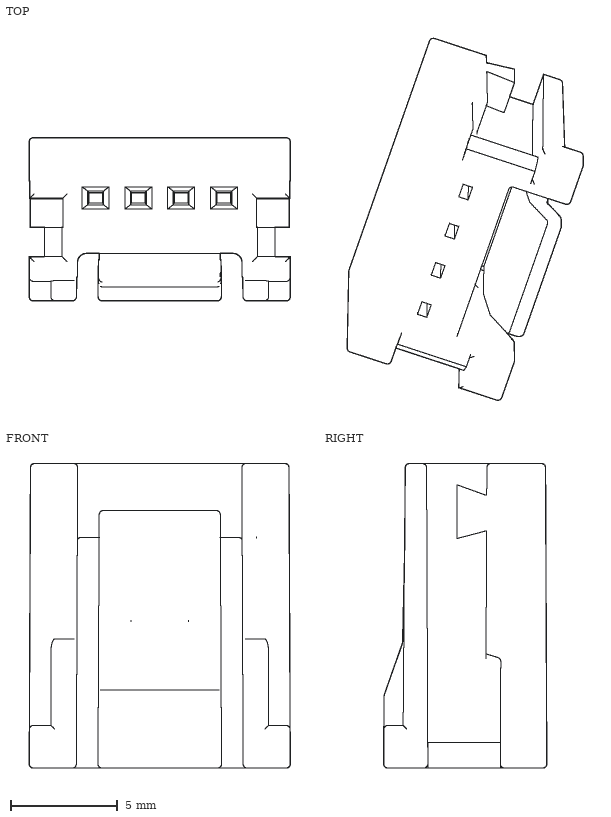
import cadquery as cq
import math

WIDTH = 12.22
DEPTH = 7.64
HEIGHT = 14.25
DRAFT_INSET = 0.06
DRAFT_ANGLE = math.degrees(math.atan(DRAFT_INSET / HEIGHT))
EDGE_RADIUS = 0.2
KNEE_RADIUS = 0.5
OVERSHOOT = 1.0
NEAR = 0.1

HALF_WIDTH = WIDTH / 2

SLOT_REAR = 2.87
SLOT_FRONT = 5.57
SLOT_FLOOR_X = 4.57
SLOT_STEP_REAR = 2.18
SLOT_STEP_TOP = 5.14
SLOT_STEP_ROOF_ANGLE = 17
SLOT_STEP_RADIUS = 0.2

HOOK_TIP = 4.2
HOOK_ROOT_Z = (11.09, 12.77)
HOOK_TIP_Z = (10.74, 13.25)

LEDGE_OUTER_X = 5.39
LEDGE_TOP = 1.2
LEDGE_CHAMFER_TOP = 0.69
LEDGE_CHAMFER_X = 4.99
LEDGE_RADIUS = 0.55

RAIL_FRONT_BOTTOM = 6.74
RAIL_FRONT_TOP = 6.63
FOOT_TOP = 2.0
RAMP_OUTER_X = 5.09
RAMP_BOTTOM = 3.35
RAMP_TOP = 6.05

RECESS_HALF_WIDTH = 3.9
RECESS_FLOOR = 5.36
RECESS_CORNER_RADIUS = 0.43
POCKET_FLOOR = 4.7
POCKET_TOP = 10.79
POCKET_TOP_RADIUS = 0.5
POCKET_CORNER_RADIUS = 0.17

ARM_HALF_WIDTH_TOP = 2.82
ARM_HALF_WIDTH_BOTTOM = 2.89
ARM_FOOT_RADIUS = 0.4
ARM_THICKNESS = 0.95
ARM_FOOT_THICKNESS = 0.7
ARM_ROOT_OVERLAP = 0.1
ARM_BEND_RADIUS = 1.47
ARM_BEND_Z = 10.6
ARM_UPPER_FRONT = 6.65
ARM_LOWER_FRONT = 6.76
ARM_GRIP_FRONT = 6.98
ARM_STEP_TOP = 5.75
ARM_STEP_BOTTOM = 5.2
ARM_RAMP_TOP = 3.65
ARM_RAMP_BOTTOM = 1.85

PIN_COUNT = 4
PIN_PITCH = 2.0
PIN_DEPTH_POSITION = 2.82
FUNNEL_SIZE = (1.26, 1.04)
PIN_HOLE_TOP_SIZE = (0.74, 0.64)
PIN_HOLE_BOTTOM_SIZE = (0.64, 0.46)
FUNNEL_DEPTH = 0.22


def y_at(depth):
    """Y coordinate of a point at a given depth forwards of the rear face."""
    return DEPTH / 2 - depth


def side_prism(points, x_start, x_end):
    """Prism along X from (depth, z) points."""
    outline = [(y_at(depth), z) for depth, z in points]
    return (
        cq.Workplane("YZ", origin=(x_start, 0, 0))
        .polyline(outline)
        .close()
        .extrude(x_end - x_start)
    )


def mirrored(shape):
    """The shape together with its mirror image across the YZ plane."""
    return shape.union(shape.mirror("YZ"))


def make_block():
    """Plain drafted block that encloses the whole housing."""
    return cq.Workplane("XY").rect(WIDTH, DEPTH).extrude(HEIGHT, taper=DRAFT_ANGLE)


def slot_cutter(rear, top):
    """Drafted slot volume at the right-hand side, from a rear wall to the common front wall."""
    outer_x = HALF_WIDTH + OVERSHOOT
    growth = DRAFT_INSET * top / HEIGHT

    def corners(inset):
        return [
            (outer_x, y_at(rear - inset)),
            (SLOT_FLOOR_X - inset, y_at(rear - inset)),
            (SLOT_FLOOR_X - inset, y_at(SLOT_FRONT + inset)),
            (outer_x, y_at(SLOT_FRONT + inset)),
        ]

    lower = cq.Workplane("XY").polyline(corners(0)).close()
    return lower.workplane(offset=top).polyline(corners(growth)).close().loft(ruled=True)


def make_side_slots():
    """Cutters for the slots in both sides, widened towards the rear in their lower part."""
    roof_slope = math.tan(math.radians(SLOT_STEP_ROOF_ANGLE))
    roof_start = SLOT_STEP_TOP - SLOT_STEP_REAR * roof_slope
    roof_end = roof_start + DEPTH * roof_slope
    below_roof = side_prism([(0, 0), (DEPTH, 0), (DEPTH, roof_end), (0, roof_start)], 0, WIDTH)
    step = slot_cutter(SLOT_STEP_REAR, roof_end).intersect(below_roof)
    inner_corner = (SLOT_FLOOR_X, y_at(SLOT_STEP_REAR), SLOT_STEP_TOP / 2)
    roof_corner = (HALF_WIDTH, y_at(SLOT_STEP_REAR), SLOT_STEP_TOP)
    for corner in (inner_corner, roof_corner):
        step = step.edges(cq.selectors.NearestToPointSelector(corner)).fillet(SLOT_STEP_RADIUS)
    return mirrored(slot_cutter(SLOT_REAR, HEIGHT).union(step))


def make_front_relief():
    """Material in front of the rails, above the feet and the ramps."""
    far = DEPTH + OVERSHOOT
    high = HEIGHT + OVERSHOOT
    slope = (RAIL_FRONT_BOTTOM - RAIL_FRONT_TOP) / HEIGHT

    def rail_front(z):
        return RAIL_FRONT_BOTTOM - slope * z

    above_feet = side_prism(
        [
            (rail_front(FOOT_TOP), FOOT_TOP),
            (far, FOOT_TOP),
            (far, high),
            (rail_front(high), high),
        ],
        RAMP_OUTER_X,
        WIDTH,
    )
    ramp_cut = side_prism(
        [
            (rail_front(RAMP_TOP), RAMP_TOP),
            (DEPTH, RAMP_BOTTOM),
            (far, RAMP_BOTTOM),
            (far, high),
            (rail_front(high), high),
        ],
        0,
        RAMP_OUTER_X,
    )
    return mirrored(above_feet.union(ramp_cut))


def make_recess():
    """Front recess between the rails and the deeper pocket below its upper wall."""

    def channel(floor, top):
        length = DEPTH + OVERSHOOT - floor
        return (
            cq.Workplane("XY")
            .center(0, y_at(floor + length / 2))
            .rect(2 * RECESS_HALF_WIDTH, length)
            .extrude(top, taper=DRAFT_ANGLE)
        )

    upper = channel(RECESS_FLOOR, HEIGHT)
    upper = upper.faces(">Y").edges("not |X").fillet(RECESS_CORNER_RADIUS)
    pocket = channel(POCKET_FLOOR, POCKET_TOP)
    pocket = pocket.faces(">Z").edges(">Y").fillet(POCKET_TOP_RADIUS)
    pocket = pocket.faces(">Y").edges("not |X").fillet(POCKET_CORNER_RADIUS)
    return upper.union(pocket)


def make_hooks():
    """Dovetail-shaped hooks in the side slots, flush with the drafted sides of the housing."""
    outline = [
        (SLOT_REAR - EDGE_RADIUS, HOOK_ROOT_Z[0]),
        (SLOT_REAR, HOOK_ROOT_Z[0]),
        (HOOK_TIP, HOOK_TIP_Z[0]),
        (HOOK_TIP, HOOK_TIP_Z[1]),
        (SLOT_REAR, HOOK_ROOT_Z[1]),
        (SLOT_REAR - EDGE_RADIUS, HOOK_ROOT_Z[1]),
    ]
    inner_x = SLOT_FLOOR_X - DRAFT_INSET - EDGE_RADIUS
    return mirrored(side_prism(outline, inner_x, HALF_WIDTH).intersect(make_block()))


def make_ledges():
    """Chamfered ledges bridging the bottom of each side slot."""
    inner_x = SLOT_FLOOR_X - EDGE_RADIUS
    ledge = (
        cq.Workplane("XZ", origin=(0, y_at(SLOT_STEP_REAR), 0))
        .moveTo(inner_x, 0)
        .lineTo(LEDGE_CHAMFER_X, 0)
        .lineTo(LEDGE_OUTER_X, LEDGE_CHAMFER_TOP)
        .lineTo(LEDGE_OUTER_X, LEDGE_TOP)
        .lineTo(inner_x, LEDGE_TOP)
        .close()
        .extrude(SLOT_FRONT - SLOT_STEP_REAR)
    )
    ledge_middle = y_at((SLOT_STEP_REAR + SLOT_FRONT) / 2)
    chamfer_edge = cq.selectors.NearestToPointSelector((LEDGE_OUTER_X, ledge_middle, LEDGE_CHAMFER_TOP))
    ledge = ledge.edges(chamfer_edge).fillet(LEDGE_RADIUS)
    return mirrored(ledge)


def make_arm():
    """Latch arm: bends out of the recess wall and hangs down to a flared thumb grip."""
    bend_centre = ARM_UPPER_FRONT - ARM_BEND_RADIUS
    root = RECESS_FLOOR - ARM_ROOT_OVERLAP
    root_z = ARM_BEND_Z + math.sqrt(ARM_BEND_RADIUS ** 2 - (root - bend_centre) ** 2)
    mid_angle = math.radians(45)
    bend_mid = (
        y_at(bend_centre + ARM_BEND_RADIUS * math.cos(mid_angle)),
        ARM_BEND_Z + ARM_BEND_RADIUS * math.sin(mid_angle),
    )
    back_upper = ARM_UPPER_FRONT - ARM_THICKNESS
    back_grip = ARM_GRIP_FRONT - ARM_THICKNESS
    back_foot = DEPTH - ARM_FOOT_THICKNESS
    ramp_slope = (DEPTH - ARM_GRIP_FRONT) / (ARM_RAMP_TOP - ARM_RAMP_BOTTOM)
    back_ramp_top = (back_foot - back_grip) / ramp_slope
    profile = (
        cq.Workplane("YZ", origin=(-ARM_HALF_WIDTH_BOTTOM, 0, 0))
        .moveTo(y_at(root), root_z)
        .threePointArc(bend_mid, (y_at(ARM_UPPER_FRONT), ARM_BEND_Z))
        .lineTo(y_at(ARM_LOWER_FRONT), ARM_STEP_TOP)
        .lineTo(y_at(ARM_GRIP_FRONT), ARM_STEP_BOTTOM)
        .lineTo(y_at(ARM_GRIP_FRONT), ARM_RAMP_TOP)
        .lineTo(y_at(DEPTH), ARM_RAMP_BOTTOM)
        .lineTo(y_at(DEPTH), 0)
        .lineTo(y_at(back_foot), 0)
        .lineTo(y_at(back_grip), back_ramp_top)
        .lineTo(y_at(back_upper), ARM_STEP_TOP)
        .lineTo(y_at(back_upper), POCKET_TOP)
        .lineTo(y_at(root), POCKET_TOP)
        .close()
        .extrude(2 * ARM_HALF_WIDTH_BOTTOM)
    )
    sides = (
        cq.Workplane("XZ", origin=(0, DEPTH, 0))
        .moveTo(-ARM_HALF_WIDTH_BOTTOM, 0)
        .lineTo(ARM_HALF_WIDTH_BOTTOM, 0)
        .lineTo(ARM_HALF_WIDTH_TOP, HEIGHT)
        .lineTo(-ARM_HALF_WIDTH_TOP, HEIGHT)
        .close()
        .extrude(2 * DEPTH)
    )
    return profile.intersect(sides)


def make_pin_openings():
    """Tapered rectangular contact holes right through the housing, each with a funnel mouth."""
    cutters = cq.Workplane("XY")
    for index in range(PIN_COUNT):
        x = (index - (PIN_COUNT - 1) / 2) * PIN_PITCH
        y = y_at(PIN_DEPTH_POSITION)
        funnel = (
            cq.Workplane("XY", origin=(x, y, HEIGHT - FUNNEL_DEPTH))
            .rect(*PIN_HOLE_TOP_SIZE)
            .workplane(offset=FUNNEL_DEPTH)
            .rect(*FUNNEL_SIZE)
            .loft()
        )
        hole = (
            cq.Workplane("XY", origin=(x, y, 0))
            .rect(*PIN_HOLE_BOTTOM_SIZE)
            .workplane(offset=HEIGHT - FUNNEL_DEPTH)
            .rect(*PIN_HOLE_TOP_SIZE)
            .loft()
        )
        cutters = cutters.union(funnel).union(hole)
    return cutters


def is_rounded_early(edge):
    """Whether an edge, other than those of the top face, carries the general rounding."""
    middle = edge.positionAt(0.5)
    x = abs(middle.x)
    depth = y_at(middle.y)
    if middle.z > HEIGHT - NEAR:
        return False
    at_outside = x > HALF_WIDTH - NEAR
    if middle.z < NEAR:
        slot_mouth = SLOT_STEP_REAR + NEAR < depth < SLOT_FRONT - NEAR
        return not (slot_mouth and x > RECESS_HALF_WIDTH + NEAR)
    if depth > RAIL_FRONT_TOP - NEAR:
        meets_rail_front = depth < RAIL_FRONT_BOTTOM + NEAR
        on_foot_top = abs(middle.z - FOOT_TOP) < NEAR
        foot_meets_ramp = on_foot_top and abs(x - RAMP_OUTER_X) < NEAR
        concave = meets_rail_front or foot_meets_ramp
        on_recess_side = x < RECESS_HALF_WIDTH + NEAR
        return at_outside or on_recess_side or not concave
    on_slot_step = depth < (SLOT_STEP_REAR + SLOT_REAR) / 2 + NEAR and middle.z < HEIGHT / 2
    return at_outside and (depth < NEAR or on_slot_step)


def is_ramp_knee(edge):
    """Whether an edge lies between a ramp and the vertical face below it."""
    middle = edge.positionAt(0.5)
    is_crosswise = abs(edge.tangentAt(0.5).x) > 1 - NEAR
    return is_crosswise and abs(middle.z - RAMP_BOTTOM) < NEAR and y_at(middle.y) > DEPTH - NEAR


def round_edges(housing):
    """Round the ramp knees and the outer edges, then the whole rim of the top face."""
    knees = [edge for edge in housing.edges().vals() if is_ramp_knee(edge)]
    housing = housing.newObject(knees).fillet(KNEE_RADIUS)
    early = [edge for edge in housing.edges().vals() if is_rounded_early(edge)]
    housing = housing.newObject(early).fillet(EDGE_RADIUS)
    return housing.faces(">Z").edges().fillet(EDGE_RADIUS)


def round_arm(arm):
    """Round the knees, the front side edges and the foot of the latch arm."""

    def is_knee(edge):
        middle = edge.positionAt(0.5)
        knee_heights = (ARM_STEP_TOP, ARM_STEP_BOTTOM, ARM_RAMP_BOTTOM)
        at_knee = any(abs(middle.z - height) < NEAR for height in knee_heights)
        return at_knee and abs(middle.x) < NEAR and y_at(middle.y) > ARM_UPPER_FRONT

    def is_front_side(edge):
        middle = edge.positionAt(0.5)
        depth = y_at(middle.y)
        if abs(middle.x) < ARM_HALF_WIDTH_TOP - NEAR:
            return False
        if middle.z > ARM_BEND_Z:
            return edge.geomType() != "LINE"
        on_face = depth > ARM_UPPER_FRONT and middle.z > ARM_RAMP_BOTTOM
        return on_face or depth > DEPTH - NEAR

    arm = arm.newObject([edge for edge in arm.edges().vals() if is_knee(edge)]).fillet(KNEE_RADIUS)
    arm = arm.faces("<Z").edges("<Y").fillet(ARM_FOOT_RADIUS)
    front_sides = [edge for edge in arm.edges().vals() if is_front_side(edge)]
    return arm.newObject(front_sides).fillet(EDGE_RADIUS)


housing = make_block().cut(make_front_relief()).cut(make_side_slots())
housing = housing.cut(make_recess())
housing = round_edges(housing)
housing = housing.union(make_hooks()).union(make_ledges())
result = housing.union(round_arm(make_arm())).cut(make_pin_openings())